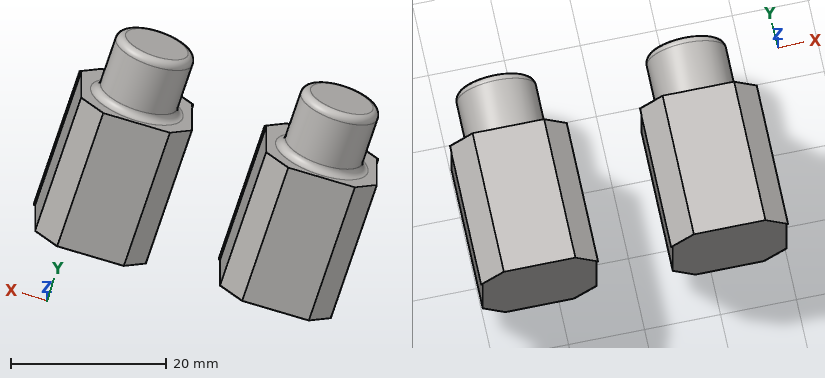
import cadquery as cq

overall_width = 40.4
plug_spacing = 25.0

head_width_at_lip = overall_width - plug_spacing
head_side_width = 15.0
head_length = 19.52
head_height = 14.75
corner_cut = 3.0
lip_depth = 0.3

boss_diameter = 10.5
boss_length = 8.5
boss_axis_height = 7.05
edge_radius = 1.0


def make_head():
    """Extrude the head outline along +Y from its front face at Y = 0."""
    lip_half = head_width_at_lip / 2
    side_half = head_side_width / 2
    top_half = lip_half - corner_cut
    bottom_half = side_half - corner_cut
    lip_height = head_height - corner_cut
    lip_underside_height = lip_height - lip_depth
    right_outline = [
        (bottom_half, 0),
        (side_half, corner_cut),
        (side_half, lip_underside_height),
        (lip_half, lip_height),
        (top_half, head_height),
    ]
    left_outline = [(-x, z) for x, z in reversed(right_outline)]
    outline = cq.Workplane("XZ").polyline(right_outline + left_outline).close()
    return outline.extrude(-head_length)


def boss_profile():
    """Half section of the boss, with a flared root and a rounded end edge."""
    radius = boss_diameter / 2
    end_y = head_length + boss_length
    root_flare = cq.Workplane("XY").moveTo(0, head_length).lineTo(radius + edge_radius, head_length)
    straight_side = root_flare.radiusArc((radius, head_length + edge_radius), edge_radius)
    end_edge = straight_side.lineTo(radius, end_y - edge_radius)
    end_face = end_edge.radiusArc((radius - edge_radius, end_y), -edge_radius)
    return end_face.lineTo(0, end_y).close()


def make_boss():
    """Revolve the boss section about its Y axis and raise it to the boss height."""
    boss = boss_profile().revolve(360, (0, 0), (0, 1))
    return boss.translate((0, 0, boss_axis_height))


def make_plug(center_x):
    """One plug: head and boss as a single solid."""
    plug = make_head().union(make_boss())
    return plug.translate((center_x, 0, 0))


plugs = [make_plug(side * plug_spacing / 2) for side in (-1, 1)]

result = cq.Compound.makeCompound([plug.solids().val() for plug in plugs])